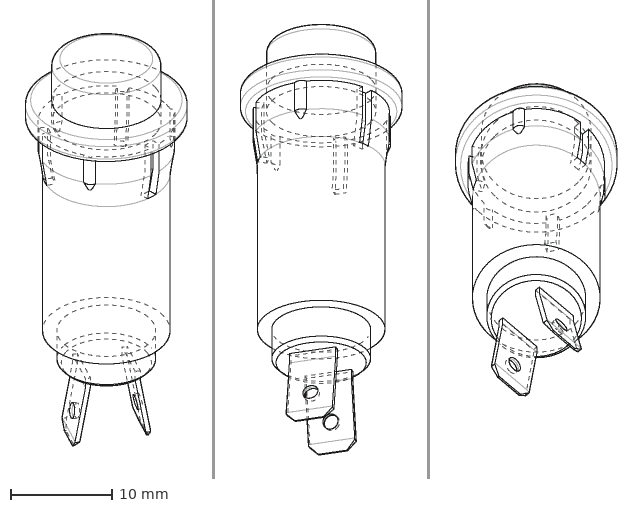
import cadquery as cq
import math

TOTAL_HEIGHT = 43.25
BASE_BOTTOM = 8.13
BARREL_BOTTOM = 11.8
TAPER_BOTTOM = 30.0
COLLAR_BOTTOM = 32.85
BEZEL_BOTTOM = 36.0
BEZEL_TOP = 38.47

BUTTON_RADIUS = 5.4
BUTTON_FILLET = 0.8
BEZEL_RADIUS = 8.0
BEZEL_FILLET = 0.5

BARREL_RADIUS = 6.3
COLLAR_RADIUS = 6.75

SLOT_ANGLES = [30, 150, 270]
SLOT_WIDTH = 1.15
SLOT_FLOOR_COLLAR = 5.9
SLOT_FLOOR_BOTTOM = 5.35
RIB_ANGLES = [90, 210, 330]
RIB_RADIUS = 0.78
RIB_HEIGHT = 0.25
RIB_TIP_LENGTH = 1.77

BASE_RADIUS = 4.9
BASE_CHAMFER = 0.45

TERMINAL_TURNS = [0, 180]
BLADE_WIDTH = 4.8
BLADE_THICKNESS = 0.5
BLADE_OFFSET = 2.55
BLADE_ANGLE = 10
BEND_HEIGHT = 7.1
TIP_BEVEL_LENGTH = 1.05
TIP_BEVEL_DEPTH = 0.17
TIP_CORNER = 0.9
BLADE_HOLE_DIAMETER = 1.55
BLADE_HOLE_HEIGHT = 3.1


def disc(radius, bottom, top):
    """Solid cylinder on the Z axis between two heights."""
    return cq.Workplane("XY").workplane(offset=bottom).circle(radius).extrude(top - bottom)


def make_button():
    """Cylindrical button that passes through the bezel and rests on the barrel."""
    return disc(BUTTON_RADIUS, BEZEL_BOTTOM, TOTAL_HEIGHT).faces(">Z").edges().fillet(BUTTON_FILLET)


def make_bezel():
    """Round-edged flange ring around the button."""
    flange = disc(BEZEL_RADIUS, BEZEL_BOTTOM, BEZEL_TOP).edges().fillet(BEZEL_FILLET)
    return flange.cut(disc(BUTTON_RADIUS, BEZEL_BOTTOM, BEZEL_TOP))


def make_slot(angle):
    """Radial slot cutter whose floor follows the collar and then leans in along the taper."""
    slot = (
        cq.Workplane("XZ")
        .moveTo(SLOT_FLOOR_COLLAR, BEZEL_BOTTOM)
        .lineTo(SLOT_FLOOR_COLLAR, COLLAR_BOTTOM)
        .lineTo(SLOT_FLOOR_BOTTOM, TAPER_BOTTOM)
        .lineTo(BEZEL_RADIUS, TAPER_BOTTOM)
        .lineTo(BEZEL_RADIUS, BEZEL_BOTTOM)
        .close()
        .extrude(SLOT_WIDTH / 2, both=True)
    )
    return slot.rotate((0, 0, 0), (0, 0, 1), angle)


def make_rib(angle):
    """Upright half-round rib with a conical lower end."""
    profile = [
        (0, BEZEL_BOTTOM),
        (RIB_RADIUS, BEZEL_BOTTOM),
        (RIB_RADIUS, COLLAR_BOTTOM),
        (0, COLLAR_BOTTOM - RIB_TIP_LENGTH),
    ]
    rod = cq.Workplane("XZ").polyline(profile).close().revolve(360, (0, 0), (0, 1))
    axis_distance = COLLAR_RADIUS + RIB_HEIGHT - RIB_RADIUS
    return rod.translate((axis_distance, 0, 0)).rotate((0, 0, 0), (0, 0, 1), angle)


def make_barrel():
    """Barrel that widens through a taper into the slotted and ribbed collar."""
    profile = [
        (0, BARREL_BOTTOM),
        (BARREL_RADIUS, BARREL_BOTTOM),
        (BARREL_RADIUS, TAPER_BOTTOM),
        (COLLAR_RADIUS, COLLAR_BOTTOM),
        (COLLAR_RADIUS, BEZEL_BOTTOM),
        (0, BEZEL_BOTTOM),
    ]
    barrel = cq.Workplane("XZ").polyline(profile).close().revolve(360, (0, 0), (0, 1))
    for angle in RIB_ANGLES:
        barrel = barrel.union(make_rib(angle))
    for angle in SLOT_ANGLES:
        barrel = barrel.cut(make_slot(angle))
    return barrel


def make_base():
    """Plug below the barrel with a chamfered lower edge."""
    return disc(BASE_RADIUS, BASE_BOTTOM, BARREL_BOTTOM).faces("<Z").edges().chamfer(BASE_CHAMFER)


def make_terminal(turn):
    """Blade bent outward below its root, with bevelled tip, cut corners and a round hole."""
    lean = math.tan(math.radians(BLADE_ANGLE))
    half = BLADE_THICKNESS / 2
    inner_root = BLADE_OFFSET - half
    outer_root = BLADE_OFFSET + half

    def lean_out(height):
        """Outward shift of the leaning blade at a height below the bend."""
        return lean * (BEND_HEIGHT - height)

    side = [
        (inner_root, BASE_BOTTOM),
        (outer_root, BASE_BOTTOM),
        (outer_root, BEND_HEIGHT),
        (outer_root + lean_out(TIP_BEVEL_LENGTH), TIP_BEVEL_LENGTH),
        (outer_root + lean_out(0) - TIP_BEVEL_DEPTH, 0),
        (inner_root + lean_out(0) + TIP_BEVEL_DEPTH, 0),
        (inner_root + lean_out(TIP_BEVEL_LENGTH), TIP_BEVEL_LENGTH),
        (inner_root, BEND_HEIGHT),
    ]
    blade = cq.Workplane("YZ").polyline(side).close().extrude(BLADE_WIDTH / 2, both=True)

    reach = outer_root + lean_out(0)
    outline = (
        cq.Workplane("XZ")
        .center(0, BASE_BOTTOM / 2)
        .rect(BLADE_WIDTH, BASE_BOTTOM)
        .extrude(-reach)
        .edges("|Y and <Z")
        .chamfer(TIP_CORNER)
    )
    hole_distance = BLADE_OFFSET + lean_out(BLADE_HOLE_HEIGHT)
    hole = (
        cq.Workplane("XZ")
        .circle(BLADE_HOLE_DIAMETER / 2)
        .extrude(BLADE_THICKNESS, both=True)
        .rotate((0, 0, 0), (1, 0, 0), BLADE_ANGLE)
        .translate((0, hole_distance, BLADE_HOLE_HEIGHT))
    )
    return blade.intersect(outline).cut(hole).rotate((0, 0, 0), (0, 0, 1), turn)


button = make_button()
bezel = make_bezel()
barrel = make_barrel()
base = make_base()
terminals = [make_terminal(turn) for turn in TERMINAL_TURNS]

result = cq.Compound.makeCompound(
    [
        button.val(),
        bezel.val(),
        barrel.val(),
        base.val(),
        *[terminal.val() for terminal in terminals],
    ]
)